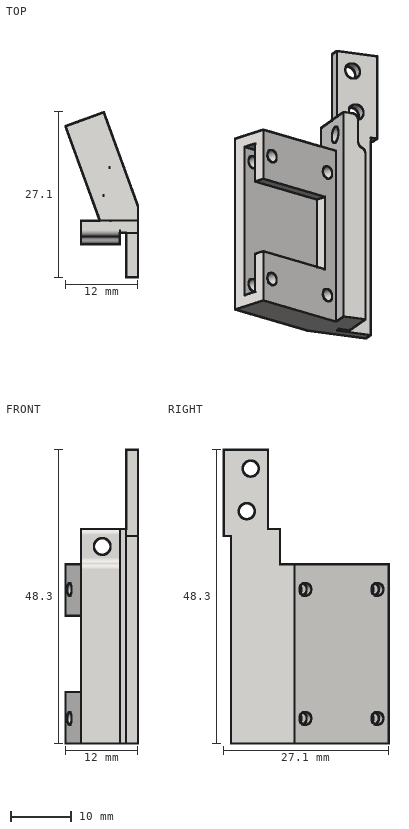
import cadquery as cq
import math


PLATE_WIDTH = 9.4
PLATE_THICKNESS = 2.0
PLATE_HEIGHT = 35.3

RIB_WIDTH = 6.4
RIB_DEPTH = 3.9
SEAT_DEPTH = 2.6
SEAT_BOTTOM = 30.5
ROUND_RADIUS = 1.0
SEAT_HOLE_DIAMETER = 2.7
SEAT_HOLE_X = -5.9
SEAT_HOLE_Z = 32.4

ARM_THICKNESS = 2.0
ARM_HEIGHT = 48.3
ARM_REACH = 8.1
HEAD_REACH = 9.3
HEAD_BOTTOM = 34.1
ARM_HOLE_DIAMETER = 2.6
ARM_HOLES = [(-4.85, 45.2), (-5.5, 38.2)]

WING_ANGLE = 20.0
WING_THICKNESS = 6.74
WING_LENGTH = 16.5
WING_BEND_Y = 2.34
WING_HEIGHT = 29.5

WALL_THICKNESS = 2.0
SLOT_THICKNESS = 2.5
SLOT_HEIGHT = 25.6
SLOT_LENGTH = 16.5

WINDOW_LENGTH = 14.05
WINDOW_HEIGHT = 12.5
SCREW_DIAMETER = 2.1
SCREW_END_DISTANCE = 2.0
SCREW_SPACING_ALONG = 12.6
SCREW_SPACING_UP = 21.2

SIN_WING = math.sin(math.radians(WING_ANGLE))
COS_WING = math.cos(math.radians(WING_ANGLE))
OUTER_END = (-WING_LENGTH * SIN_WING, WING_BEND_Y + WING_LENGTH * COS_WING)
INNER_END = (OUTER_END[0] - WING_THICKNESS * COS_WING, OUTER_END[1] - WING_THICKNESS * SIN_WING)


def plate_strip():
    """Part of the plate to the right of the rib; the rib itself reaches the back face."""
    width = PLATE_WIDTH - RIB_WIDTH
    strip = cq.Workplane("XY").box(width, PLATE_THICKNESS, PLATE_HEIGHT, centered=False)
    return strip.translate((-width, -PLATE_THICKNESS, 0))


def rib():
    """Rib, including the plate behind it; its front steps back to the seat through two equal arcs."""
    top_round_y = ROUND_RADIUS - SEAT_DEPTH
    half_rise = (RIB_DEPTH - SEAT_DEPTH) / 2
    half_drop = math.sqrt(ROUND_RADIUS**2 - (ROUND_RADIUS - half_rise) ** 2)
    step_middle = (-SEAT_DEPTH - half_rise, SEAT_BOTTOM - half_drop)
    step_bottom = (-RIB_DEPTH, SEAT_BOTTOM - 2 * half_drop)
    profile = (
        cq.Workplane("YZ", origin=(-PLATE_WIDTH, 0, 0))
        .moveTo(0, 0)
        .lineTo(0, PLATE_HEIGHT)
        .lineTo(top_round_y, PLATE_HEIGHT)
        .radiusArc((-SEAT_DEPTH, PLATE_HEIGHT - ROUND_RADIUS), -ROUND_RADIUS)
        .lineTo(-SEAT_DEPTH, SEAT_BOTTOM)
        .radiusArc(step_middle, ROUND_RADIUS)
        .radiusArc(step_bottom, -ROUND_RADIUS)
        .lineTo(-RIB_DEPTH, 0)
        .close()
    )
    return profile.extrude(RIB_WIDTH)


def seat_hole():
    """Hole through the seat and the plate, along Y."""
    return (
        cq.Workplane("XZ")
        .center(SEAT_HOLE_X, SEAT_HOLE_Z)
        .circle(SEAT_HOLE_DIAMETER / 2)
        .extrude(RIB_DEPTH)
    )


def arm():
    """Arm with a head that reaches further forward, pierced by two holes along X."""
    outline = [
        (-PLATE_THICKNESS, 0),
        (-PLATE_THICKNESS, ARM_HEIGHT),
        (-HEAD_REACH, ARM_HEIGHT),
        (-HEAD_REACH, HEAD_BOTTOM),
        (-ARM_REACH, HEAD_BOTTOM),
        (-ARM_REACH, 0),
    ]
    side = cq.Workplane("YZ", origin=(-ARM_THICKNESS, 0, 0))
    body = side.polyline(outline).close().extrude(ARM_THICKNESS)
    holes = side.pushPoints(ARM_HOLES).circle(ARM_HOLE_DIAMETER / 2).extrude(ARM_THICKNESS)
    return body.cut(holes)


def wing():
    """Block that rises straight back from the plate on the right, then slants to the left."""
    inner_base = (INNER_END[0] + INNER_END[1] * SIN_WING / COS_WING, 0)
    outline = [(0, 0), (0, WING_BEND_Y), OUTER_END, INNER_END, inner_base]
    return cq.Workplane("XY").polyline(outline).close().extrude(WING_HEIGHT)


def wing_cutout(length, depth_start, depth, height):
    """Pocket from the free end of the wing, centred on its height; depth runs in from the inner face."""
    pocket = cq.Workplane("XY").box(depth, length, height, centered=(False, False, True))
    return pocket.translate((depth_start, -length, 0))


def wing_cuts():
    """Slot, window and screw holes, built in the wing's own axes and turned into place.

    Before turning, X runs from the inner face to the outer face and Y points out of the free end.
    """
    slot = wing_cutout(SLOT_LENGTH, WALL_THICKNESS, SLOT_THICKNESS, SLOT_HEIGHT)
    window = wing_cutout(WINDOW_LENGTH, 0, WALL_THICKNESS, WINDOW_HEIGHT)
    screws = (
        cq.Workplane("YZ")
        .center(-SCREW_END_DISTANCE - SCREW_SPACING_ALONG / 2, 0)
        .rarray(SCREW_SPACING_ALONG, SCREW_SPACING_UP, 2, 2)
        .circle(SCREW_DIAMETER / 2)
        .extrude(WING_THICKNESS)
    )
    cuts = slot.union(window).union(screws)
    turned = cuts.rotate((0, 0, 0), (0, 0, 1), WING_ANGLE)
    return turned.translate((*INNER_END, WING_HEIGHT / 2))


front = plate_strip().union(rib()).cut(seat_hole()).union(arm())
result = front.union(wing().cut(wing_cuts()))